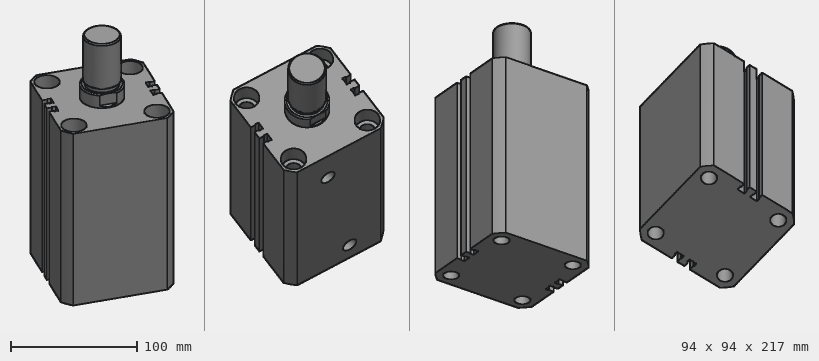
import cadquery as cq

total_height = 217.0
body_height = 159.5
body_width = 94.0

half_width = body_width / 2
corner_diameter = 122.4

mount_spacing = 69.2
mount_diameter = 12.8
counterbore_diameter = 20.2
counterbore_depth = 15.2

slot_spacing = 12.5
slot_mouth_width = 5.5
slot_inner_width = 6.7
slot_lip = 4.3
slot_depth = 7.5

port_mouth_diameter = 12.5
port_depth = 17.4
port_taper = 1 / 16
port_end_diameter = port_mouth_diameter - port_taper * port_depth
port_offset = 10.2
upper_port_height = body_height - 30.2
lower_port_height = 18.0

rod_height = total_height - body_height
collar_diameter = 35.5
collar_height = 12.4
collar_chamfer_width = 1.5
collar_chamfer_height = 0.9
thread_diameter = 30.2
thread_chamfer_width = 1.0
thread_chamfer_height = 1.3
relief_diameter = 28.2
relief_height = 3.7

flat_spacing = 32.5
flat_height = 10.0


def make_t_slot(x_center, side):
    """Full-height T-slot cutter opening on the -Y (side = -1) or +Y (side = 1) face."""
    mouth = cq.Workplane("XY").box(slot_mouth_width, slot_depth, body_height, centered=(True, True, False))
    mouth = mouth.translate((x_center, side * (half_width - slot_depth / 2), 0))
    inner_depth = slot_depth - slot_lip
    inner = cq.Workplane("XY").box(slot_inner_width, inner_depth, body_height, centered=(True, True, False))
    inner = inner.translate((x_center, side * (half_width - slot_depth + inner_depth / 2), 0))
    return mouth.union(inner)


def make_port(y_center, z_center):
    """Blind port cutter along +X, narrowing inward like a taper pipe thread."""
    profile = (
        cq.Workplane("XY")
        .moveTo(-half_width, 0)
        .lineTo(-half_width, port_mouth_diameter / 2)
        .lineTo(-half_width + port_depth, port_end_diameter / 2)
        .lineTo(-half_width + port_depth, 0)
        .close()
    )
    port = profile.revolve(360, (0, 0, 0), (1, 0, 0))
    return port.translate((0, y_center, z_center))


def make_body():
    """Cylinder body with mounting holes, T-slots and ports."""
    body = cq.Workplane("XY").rect(body_width, body_width).extrude(body_height)
    body = body.intersect(cq.Workplane("XY").circle(corner_diameter / 2).extrude(body_height))
    body = (
        body.faces(">Z")
        .workplane(origin=(0, 0, body_height))
        .rect(mount_spacing, mount_spacing, forConstruction=True)
        .vertices()
        .cboreHole(mount_diameter, counterbore_diameter, counterbore_depth)
    )
    for side in (-1, 1):
        for x_center in (-slot_spacing / 2, slot_spacing / 2):
            body = body.cut(make_t_slot(x_center, side))
    body = body.cut(make_port(port_offset, upper_port_height))
    return body.cut(make_port(-port_offset, lower_port_height))


def make_flat(side):
    """Cutter for one wrench flat, with a 45 degree run-out below it."""
    flat_x = flat_spacing / 2
    outer_x = collar_diameter / 2
    flat_bottom = collar_height - flat_height
    profile = (
        cq.Workplane("XZ")
        .moveTo(side * flat_x, collar_height)
        .lineTo(side * flat_x, flat_bottom)
        .lineTo(side * outer_x, flat_bottom - (outer_x - flat_x))
        .lineTo(side * outer_x, collar_height)
        .close()
    )
    return profile.extrude(collar_diameter / 2, both=True)


def make_rod():
    """Turned piston rod: flatted collar, thread relief groove and smooth thread cylinder."""
    collar_radius = collar_diameter / 2
    thread_radius = thread_diameter / 2
    relief_radius = relief_diameter / 2
    thread_start = collar_height + relief_height
    rod = (
        cq.Workplane("XZ")
        .moveTo(0, 0)
        .lineTo(collar_radius, 0)
        .lineTo(collar_radius, collar_height - collar_chamfer_height)
        .lineTo(collar_radius - collar_chamfer_width, collar_height)
        .lineTo(relief_radius, collar_height)
        .lineTo(relief_radius, thread_start)
        .lineTo(thread_radius, thread_start)
        .lineTo(thread_radius, rod_height - thread_chamfer_height)
        .lineTo(thread_radius - thread_chamfer_width, rod_height)
        .lineTo(0, rod_height)
        .close()
        .revolve(360, (0, 0, 0), (0, 1, 0))
    )
    for side in (-1, 1):
        rod = rod.cut(make_flat(side))
    return rod.translate((0, 0, body_height))


cylinder_body = make_body()
piston_rod = make_rod()
result = cq.Compound.makeCompound([cylinder_body.val(), piston_rod.val()])